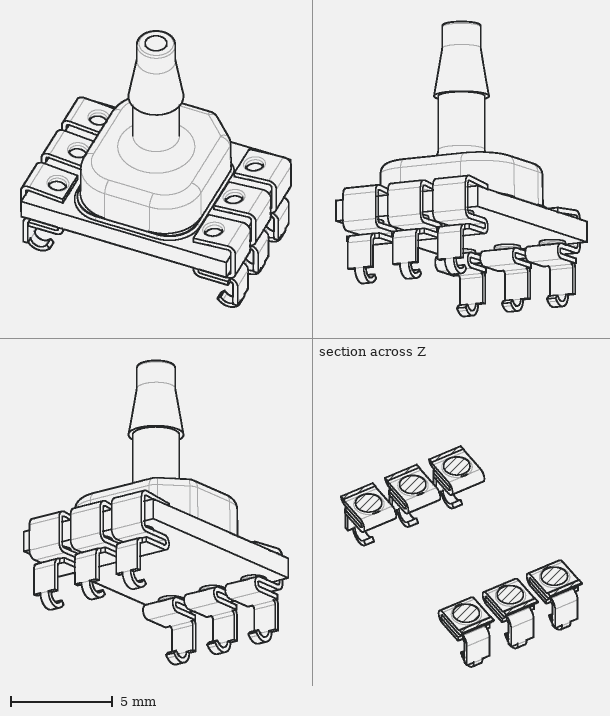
import math

import cadquery as cq

overall_length = 11.5
strip_thickness = 0.25
board_length = overall_length - 2 * strip_thickness
board_width = 8.0
board_top = 1.03

cap_length = 6.3
cap_width = 7.3
cap_top = 3.36
cap_draft = 1.0
cap_corner_radius = 1.95
cap_corner_cut = 1.48
cap_cut_edge_radius = 0.6
cap_edge_radius = 0.5

skirt_flare = 0.14
skirt_flare_angle = 45
skirt_height = 0.19
skirt_corner_radius = 1.5

port_top = 10.36
port_radius = 1.15
port_root_fillet = 0.75
barb_bottom = 6.78
barb_top = 9.2
barb_radius = 1.36
tip_radius = 0.95
tip_fillet = 0.1
bore_radius = 0.535

clip_pitch = 2.54
clips_per_side = 3
frame_width = 1.84
leg_width = 1.3
hook_width = 0.5
clip_top = 1.62
clip_bottom = -3.17
clip_reach = 2.25
bend_outer_radius = 0.4
bend_radius = bend_outer_radius - strip_thickness / 2
fold_radius = 0.26
top_arm_slope = 5.0
hook_outer_radius = 0.67
hook_radius = hook_outer_radius - strip_thickness / 2
hook_turn = 135.0
hook_tip_length = 0.17

boss_radius = 0.65
boss_flare = 0.1
boss_height = 0.37
boss_tip_fillet = 0.2
lower_boss_gap = 0.27
upper_boss_x = -4.17
lower_boss_x = -4.61
dimple_radius = 0.44
dimple_depth = 0.35
dimple_flare = 0.1


def cut_corner_sketch(margin, corner_radius):
    """Cap outline grown by margin: three round corners and the +X +Y corner cut at 45 degrees."""
    x = cap_length / 2 + margin
    y = cap_width / 2 + margin
    cut = cap_corner_cut + margin * (2 - math.sqrt(2))
    corners = [(-x, -y), (x, -y), (x, y - cut), (x - cut, y), (-x, y), (-x, -y)]
    sketch = cq.Sketch().polygon(corners)
    sketch = sketch.vertices("not (<X or <Y)").fillet(cap_cut_edge_radius + margin).reset()
    return sketch.vertices("<X or <Y").fillet(corner_radius).reset()


def make_board():
    return cq.Workplane("XY").box(board_length, board_width, board_top, centered=(True, True, False))


def make_skirt():
    flare = (
        cq.Workplane("XY", origin=(0, 0, board_top))
        .placeSketch(cut_corner_sketch(skirt_flare, skirt_corner_radius + skirt_flare))
        .extrude(skirt_flare, taper=skirt_flare_angle)
    )
    wall = (
        cq.Workplane("XY", origin=(0, 0, board_top))
        .placeSketch(cut_corner_sketch(0, skirt_corner_radius))
        .extrude(skirt_height)
    )
    return flare.union(wall)


def make_cap():
    cap_bottom = board_top + skirt_height
    body = (
        cq.Workplane("XY", origin=(0, 0, cap_bottom))
        .placeSketch(cut_corner_sketch(0, cap_corner_radius))
        .extrude(cap_top - cap_bottom, taper=cap_draft)
    )
    return body.faces(">Z").edges().fillet(cap_edge_radius)


def make_port():
    root_radius = port_radius + port_root_fillet
    root_middle = port_root_fillet * (1 - math.sqrt(0.5))
    tip_middle = tip_fillet * (1 - math.sqrt(0.5))
    profile = (
        cq.Workplane("XZ")
        .moveTo(0, cap_top)
        .lineTo(root_radius, cap_top)
        .threePointArc(
            (port_radius + root_middle, cap_top + root_middle),
            (port_radius, cap_top + port_root_fillet),
        )
        .lineTo(port_radius, barb_bottom)
        .lineTo(barb_radius, barb_bottom)
        .lineTo(tip_radius, barb_top)
        .lineTo(tip_radius, port_top - tip_fillet)
        .threePointArc(
            (tip_radius - tip_middle, port_top - tip_middle),
            (tip_radius - tip_fillet, port_top),
        )
        .lineTo(0, port_top)
        .close()
    )
    return profile.revolve(360, (0, 0, 0), (0, 1, 0))


def make_bore():
    return cq.Workplane("XY", origin=(0, 0, board_top)).circle(bore_radius).extrude(port_top - board_top)


def offset(point, direction, distance):
    """Point of the XZ plane moved a distance along a direction in degrees from +X towards +Z."""
    angle = math.radians(direction)
    return (point[0] + distance * math.cos(angle), point[1] + distance * math.sin(angle))


def across(middle, heading):
    """Left and right edge points of a strip that passes through middle along heading."""
    half = strip_thickness / 2
    return (offset(middle, heading + 90, half), offset(middle, heading - 90, half))


def bent_strip(start, heading, moves, width):
    """Strip bent in the XZ plane and centred on Y = 0.

    Moves follow the middle of the strip: ("straight", length) or ("bend", radius, angle), where
    a positive angle turns left. Angles and heading are in degrees from +X towards +Z.
    """
    first_pair = across(start, heading)
    point = start
    stretches = []
    for kind, size, *turns in moves:
        halfway_pair = None
        if kind == "straight":
            point = offset(point, heading, size)
        else:
            turn = turns[0]
            side = math.copysign(90, turn)
            centre = offset(point, heading + side, size)
            halfway_pair = across(offset(centre, heading + turn / 2 - side, size), heading + turn / 2)
            heading += turn
            point = offset(centre, heading - side, size)
        stretches.append((halfway_pair, across(point, heading)))

    def draw_edge(outline, halfway, end):
        return outline.threePointArc(halfway, end) if halfway else outline.lineTo(*end)

    outline = cq.Workplane("XZ", origin=(0, width / 2, 0)).moveTo(*first_pair[0])
    for halfway_pair, end_pair in stretches:
        outline = draw_edge(outline, halfway_pair and halfway_pair[0], end_pair[0])
    outline = outline.lineTo(*stretches[-1][1][1])
    start_pairs = [first_pair] + [end_pair for _, end_pair in stretches[:-1]]
    for (halfway_pair, _), start_pair in zip(reversed(stretches), reversed(start_pairs)):
        outline = draw_edge(outline, halfway_pair and halfway_pair[1], start_pair[1])
    return outline.close().extrude(width)


def make_clip():
    """One clip at the -X board edge, centred on Y = 0."""
    half = strip_thickness / 2
    wall_x = -overall_length / 2 + half
    bend_end_x = wall_x + bend_radius
    fold_start_x = -overall_length / 2 + clip_reach - half - fold_radius
    fold_run = fold_start_x - bend_end_x
    upper_fold_z = -lower_boss_gap - half
    lower_fold_z = upper_fold_z - 2 * fold_radius
    wall_height = clip_top - half - upper_fold_z - 2 * bend_radius
    top_arm_length = clip_reach - bend_radius
    leg_length = lower_fold_z - bend_radius - (clip_bottom + hook_outer_radius)
    junction = (bend_end_x, lower_fold_z)

    frame = bent_strip(
        junction,
        0,
        [
            ("straight", fold_run),
            ("bend", fold_radius, 180),
            ("straight", fold_run),
            ("bend", bend_radius, -90),
            ("straight", wall_height),
            ("bend", bend_radius, -90 - top_arm_slope),
            ("straight", top_arm_length),
        ],
        frame_width,
    )
    leg = bent_strip(junction, 180, [("bend", bend_radius, 90), ("straight", leg_length)], leg_width)
    hook = bent_strip(
        (wall_x, lower_fold_z - bend_radius - leg_length),
        -90,
        [("bend", hook_radius, hook_turn), ("straight", hook_tip_length)],
        hook_width,
    )
    return trim_arm_end(add_bosses(frame.union(leg).union(hook)))


def flared_plug(radius, flare, height):
    """Round plug standing on Z = 0 and pointing up, widened at its foot by a concave fillet."""
    flare_middle = flare * (1 - math.sqrt(0.5))
    profile = (
        cq.Workplane("XZ")
        .lineTo(radius + flare, 0)
        .threePointArc((radius + flare_middle, flare_middle), (radius, flare))
        .lineTo(radius, height)
        .lineTo(0, height)
        .close()
    )
    return profile.revolve(360, (0, 0, 0), (0, 1, 0))


def add_bosses(clip):
    """Add the bosses, whose tips sink into the board, and press the dimple into the top arm."""
    boss = flared_plug(boss_radius, boss_flare, boss_height).faces(">Z").edges().fillet(boss_tip_fillet)
    lower_boss = boss.translate((lower_boss_x, 0, -lower_boss_gap))

    slope = math.radians(top_arm_slope)
    bend_centre_x = -overall_length / 2 + bend_outer_radius
    arm_top = (
        clip_top
        - bend_outer_radius
        + bend_outer_radius / math.cos(slope)
        - (upper_boss_x - bend_centre_x) * math.tan(slope)
    )

    def press_down(plug, depth):
        """Turn a plug to point down, square to the top arm, with its foot at a depth in the arm."""
        turned = plug.translate((0, 0, depth)).rotate((0, 0, 0), (0, 1, 0), 180 + top_arm_slope)
        return turned.translate((upper_boss_x, 0, arm_top))

    upper_boss = press_down(boss, strip_thickness)
    dimple = press_down(flared_plug(dimple_radius, dimple_flare, dimple_depth), 0)
    return clip.union(lower_boss).union(upper_boss).cut(dimple)


def trim_arm_end(clip):
    """Cut the top arm and its boss off upright at the reach of the clip."""
    arm_end_x = -overall_length / 2 + clip_reach
    trim = cq.Workplane("XY", origin=(arm_end_x, 0, board_top)).box(
        clip_reach, board_width, clip_top, centered=(False, True, False)
    )
    return clip.cut(trim)


def make_clips():
    clip = make_clip()
    clips = []
    for index in range(clips_per_side):
        left = clip.translate((0, (index - (clips_per_side - 1) / 2) * clip_pitch, 0))
        clips += [left, left.mirror("YZ")]
    return clips


result = make_board().union(make_skirt()).union(make_cap()).union(make_port()).cut(make_bore())
for clip in make_clips():
    result = result.union(clip)